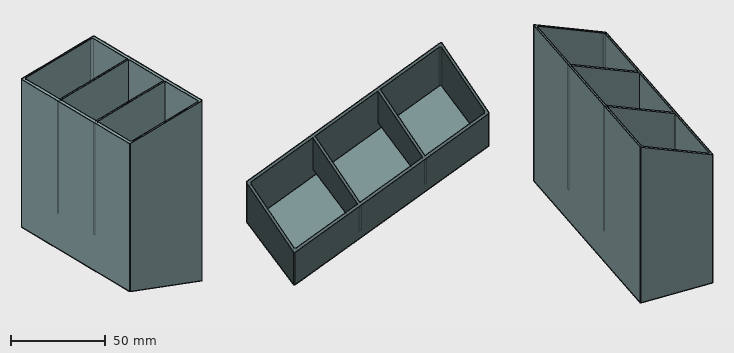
import cadquery as cq

length = 128.0
depth = 43.0
back_height = 100.0
front_height = 82.0
outer_chamfer = 0.4

wall = 1.5
floor_thickness = 1.5
inner_corner_radius = 1.0

compartment_count = 3
divider_thickness = 1.5
divider_bottom = 20.0


def make_shell():
    """Open-topped box with chamfered outer and rounded inner vertical edges."""
    block = (
        cq.Workplane("XY")
        .box(length, depth, back_height, centered=False)
        .edges("|Z")
        .chamfer(outer_chamfer)
    )
    cavity = (
        cq.Workplane("XY", origin=(wall, wall, floor_thickness))
        .box(length - 2 * wall, depth - 2 * wall, back_height, centered=False)
        .edges("|Z")
        .fillet(inner_corner_radius)
    )
    return block.cut(cavity)


def make_divider(left_side):
    """Upright plate over the full depth, its ends flush with the front and back faces."""
    return cq.Workplane("XY", origin=(left_side, 0, divider_bottom)).box(
        divider_thickness, depth, back_height - divider_bottom, centered=False
    )


def make_top_wedge():
    """Everything above the plane that falls from the back edge to the front edge."""
    return (
        cq.Workplane("YZ")
        .polyline([(0, front_height), (depth, back_height), (0, back_height)])
        .close()
        .extrude(length)
    )


result = make_shell()
for index in range(1, compartment_count):
    divider_left = index * length / compartment_count
    result = result.union(make_divider(divider_left), clean=False)
result = result.cut(make_top_wedge(), clean=False)